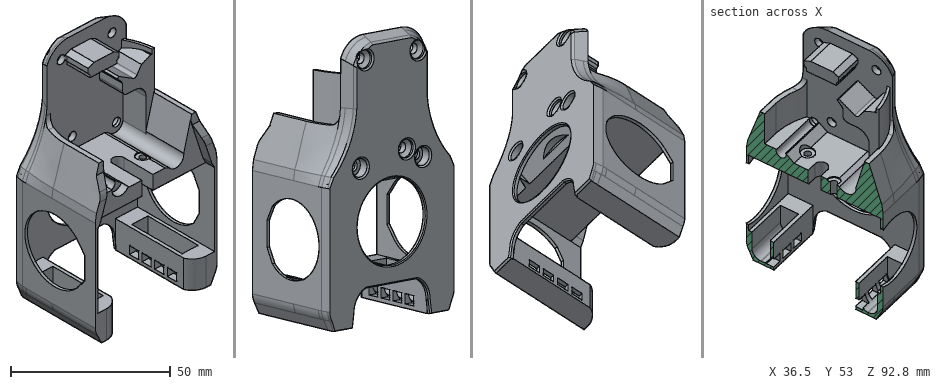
import cadquery as cq
import math

LENGTH = 36.5
WIDTH = 53.0
HALF_WIDTH = WIDTH / 2
HEIGHT = 92.8
PLATE = 4.8
FACE_WALL = 1.5
SIDE_WALL = 1.1
OVERSHOOT = 0.9

FRONT_INSET = 0.6
FRONT_INSET_DEPTH = 3.3
FACE_BEVEL = 0.4
FACE_BEVEL_DEPTH = 0.8
BLEND_DEPTH = 16.7
FOOT_HALF = 23.8
HEAD_HALF_FACE = 15.0
HEAD_GROWTH = 2.2
HEAD_FLAT_HALF = 8.1
SHOULDER_TOP = 70.55
SHOULDER = [
    (49.85, 24.6, 26.0),
    (57.2, 19.1, 23.6),
    (64.7, 16.1, 21.1),
]

RIM = 64.7
RIM_FILLET = 3.0
REAR_EDGE_TOP = 53.5
FLOOR = 49.7
FLOOR_BOTTOM = 43.6
FLOOR_END = 32.5
LEDGE = 52.0
TRAY_HALF = 19.2
TRAY_HALF_FRONT = 15.8
CABLE_GROOVE = 3.6
CABLE_GROOVE_AXIS = (-13.0, 51.2)
SOCKET = 7.6
SOCKET_DEPTH = 3.1
SOCKET_Y = -11.6
CEILING_SLOPE = 6.5
CEILING_RISE = 4.0

CLIP_END = 15.3
HOOK_TOP = 81.3
HOOK_RIM = 1.1

FACE_HOLE = 28.4
FACE_HOLE_Z = 32.2
FACE_HOLE_CHAMFER = 0.4
SCREW_HOLE = 3.4
SCREW_HEAD = 6.0
SCREW_HEAD_CHAMFER = 0.6
SCREW_SEAT_DEPTH = 1.3
FLAT_SEAT_DEPTH = 3.7
CONE_SEAT_SCREWS = [(11.05, 85.9), (-11.05, 85.9), (-6.2, 54.7)]
FLAT_SEAT_SCREWS = [(13.0, 51.2), (-13.0, 51.2)]

SLOT_WIDTH = 4.8
SLOT_START = 16.9
FLOOR_SCREWS = [(22.65, 7.3), (16.2, -7.3)]
FLOOR_SCREW_HOLE = 2.4
SPOT_FACE = 5.0
SPOT_FACE_DEPTH = 0.5

SIDE_HOLE_Z = 27.2
SIDE_HOLE_MINUS_Y = (18.1, 13.6, 31.7, 4.7)
SIDE_HOLE_PLUS_Y = (17.6, 13.1, 29.4, 4.4)

LEG_INNER = 15.8
GAP_BEVEL = 0.5
DUCT_TOP = 11.9
DUCT_WALL = 1.4
DUCT_OUTER = 24.1
DUCT_FILLET = 3.3
DUCT_START = 7.4
DUCT_END = 30.4
OUTLET_COUNT = 4
OUTLET_PITCH = 5.8
OUTLET_LENGTH = 4.1
OUTLET_HEIGHT = 3.3
OUTLET_START = 7.8


def box(x0, x1, y0, y1, z0, z1):
    return cq.Workplane("XY").box(x1 - x0, y1 - y0, z1 - z0, centered=False).translate((x0, y0, z0))


def cylinder_x(diameter, x0, x1, y, z):
    return cq.Workplane("YZ", origin=(x0, y, z)).circle(diameter / 2).extrude(x1 - x0)


def mirrored_y(points):
    return [(-y, z) for y, z in points]


def shell_section(x):
    """Closed outline of the shell at the given depth behind the face."""
    blend = math.sin(math.pi / 2 * x / BLEND_DEPTH)
    growth = HEAD_GROWTH * min(x / PLATE, 1)
    side = HALF_WIDTH - FRONT_INSET * max(1 - x / FRONT_INSET_DEPTH, 0)
    bevel = FACE_BEVEL * max(1 - x / FACE_BEVEL_DEPTH, 0)
    head = HEAD_HALF_FACE + growth - bevel
    top = HEIGHT - HEAD_GROWTH + growth - bevel

    foot = (FOOT_HALF, bevel)
    leg_arc = [(side - 0.9, 3.6), (side - 0.3, 5.1), (side, 6.7)]
    side_top = (side, 46.4)
    shoulder = [(face + (body - face) * blend - bevel, z) for z, face, body in SHOULDER]
    shoulder.append((head, SHOULDER_TOP))
    head_arc = [(head, top - 6.5), (head - 3.0, top - 2.3), (HEAD_FLAT_HALF, top)]

    return (
        cq.Workplane("YZ", origin=(x, 0, 0))
        .moveTo(*foot)
        .lineTo(*leg_arc[0])
        .threePointArc(*leg_arc[1:])
        .lineTo(*side_top)
        .lineTo(*shoulder[0])
        .spline(shoulder[1:], includeCurrent=True)
        .lineTo(*head_arc[0])
        .threePointArc(*head_arc[1:])
        .lineTo(-HEAD_FLAT_HALF, top)
        .threePointArc(*mirrored_y(head_arc[1::-1]))
        .lineTo(*mirrored_y(shoulder)[-1])
        .spline(mirrored_y(shoulder[-2::-1]), includeCurrent=True)
        .lineTo(-side, side_top[1])
        .lineTo(-side, leg_arc[2][1])
        .threePointArc(*mirrored_y(leg_arc[1::-1]))
        .lineTo(-foot[0], foot[1])
        .close()
    )


def outer_shell():
    straight_depths = [0, FACE_BEVEL_DEPTH, FRONT_INSET_DEPTH, PLATE]
    curved_depths = [PLATE, 8.4, 12.1, BLEND_DEPTH]
    plate = cq.Solid.makeLoft([shell_section(x).val() for x in straight_depths], True)
    shoulders = cq.Solid.makeLoft([shell_section(x).val() for x in curved_depths], False)
    rear = shell_section(BLEND_DEPTH).extrude(LENGTH - BLEND_DEPTH)
    return rear.union(cq.Workplane(shoulders)).union(cq.Workplane(plate))


def above_rim():
    """Everything above the wall rim and behind the rear edge of the walls."""
    return (
        cq.Workplane("XZ", origin=(0, HALF_WIDTH + OVERSHOOT, 0))
        .moveTo(PLATE, HEIGHT + OVERSHOOT)
        .lineTo(PLATE, RIM + RIM_FILLET)
        .radiusArc((PLATE + RIM_FILLET, RIM), -RIM_FILLET)
        .lineTo(FLOOR_END, RIM)
        .lineTo(FLOOR_END + 0.3, 60.8)
        .lineTo(35.6, 56.4)
        .threePointArc((36.2, 55.1), (LENGTH, REAR_EDGE_TOP))
        .lineTo(LENGTH + OVERSHOOT, REAR_EDGE_TOP)
        .lineTo(LENGTH + OVERSHOOT, HEIGHT + OVERSHOOT)
        .close()
        .extrude(2 * (HALF_WIDTH + OVERSHOOT))
    )


def tray_cut():
    """Upper tray with a rounded trough on the +Y side and a ledge on the -Y side."""
    profile = (
        cq.Workplane("YZ", origin=(PLATE, 0, 0))
        .moveTo(TRAY_HALF, HEIGHT)
        .lineTo(TRAY_HALF, RIM)
        .lineTo(15.8, 51.5)
        .threePointArc((12.25, 47.5), (9.6, 48.8))
        .lineTo(7.7, FLOOR)
        .lineTo(-7.9, FLOOR)
        .lineTo(-11.0, LEDGE)
        .lineTo(-TRAY_HALF, LEDGE)
        .lineTo(-TRAY_HALF, HEIGHT)
        .close()
        .extrude(LENGTH)
    )
    plan = (
        cq.Workplane("XY")
        .moveTo(PLATE, TRAY_HALF_FRONT)
        .threePointArc((9.75, 18.0), (BLEND_DEPTH, TRAY_HALF))
        .lineTo(LENGTH + OVERSHOOT, TRAY_HALF)
        .lineTo(LENGTH + OVERSHOOT, -TRAY_HALF)
        .lineTo(BLEND_DEPTH, -TRAY_HALF)
        .threePointArc((9.75, -18.0), (PLATE, -TRAY_HALF_FRONT))
        .close()
        .extrude(HEIGHT)
    )
    return profile.intersect(plan)


def ledge_grooves():
    cable = cylinder_x(CABLE_GROOVE, PLATE, FLOOR_END, *CABLE_GROOVE_AXIS)
    socket = cylinder_x(SOCKET, FLOOR_END - SOCKET_DEPTH, FLOOR_END, SOCKET_Y, LEDGE)
    return cable.union(socket)


def lower_cavity():
    """Space below the tray floor, open to the rear and to the bottom."""
    half = HALF_WIDTH - SIDE_WALL
    space = (
        cq.Workplane("XZ", origin=(0, half, 0))
        .moveTo(FACE_WALL, -OVERSHOOT)
        .lineTo(FACE_WALL, FLOOR_BOTTOM + CEILING_RISE)
        .lineTo(FACE_WALL + CEILING_SLOPE, FLOOR_BOTTOM)
        .lineTo(LENGTH + OVERSHOOT, FLOOR_BOTTOM)
        .lineTo(LENGTH + OVERSHOOT, -OVERSHOOT)
        .close()
        .extrude(2 * half)
    )
    right_side = [(half, FLOOR_BOTTOM), (24.1, 45.95), (18.0, RIM)]
    left_side = mirrored_y(right_side[::-1])
    behind_floor = (
        cq.Workplane("YZ", origin=(FLOOR_END, 0, 0))
        .polyline(right_side + left_side)
        .close()
        .extrude(LENGTH)
    )
    return space.union(behind_floor)


def leg_gap_outline():
    side = [(15.4, 5.1), (13.9, 9.6), (10.6, 12.2)]
    return (
        cq.Workplane("YZ")
        .moveTo(16.2, -OVERSHOOT)
        .lineTo(*side[0])
        .threePointArc(*side[1:])
        .lineTo(-side[2][0], side[2][1])
        .threePointArc(*mirrored_y(side[1::-1]))
        .lineTo(-16.2, -OVERSHOOT)
        .close()
    )


def leg_gap():
    """Opening between the two legs at the bottom, bevelled at the face."""
    opening = leg_gap_outline().extrude(LENGTH + OVERSHOOT)
    bevel = leg_gap_outline().offset2D(GAP_BEVEL, "intersection").extrude(GAP_BEVEL, taper=45)
    return opening.union(bevel)


def air_duct():
    """Duct of the +Y leg, open at the top, with outlets towards the middle."""
    block = box(FACE_WALL, LENGTH, LEG_INNER, HALF_WIDTH - SIDE_WALL / 2, 0, DUCT_TOP)
    channel = box(DUCT_START, DUCT_END, LEG_INNER + DUCT_WALL, DUCT_OUTER, DUCT_WALL, DUCT_TOP + OVERSHOOT)
    channel = channel.edges("|X and <Z").fillet(DUCT_FILLET)
    rounded_end = (
        cq.Workplane("XY", origin=(0, 0, -OVERSHOOT))
        .moveTo(FLOOR_END, LEG_INNER - OVERSHOOT)
        .lineTo(FLOOR_END, LEG_INNER)
        .threePointArc((35.65, 18.7), (LENGTH, 22.3))
        .lineTo(LENGTH + OVERSHOOT, 22.3)
        .lineTo(LENGTH + OVERSHOOT, LEG_INNER - OVERSHOOT)
        .close()
        .extrude(DUCT_TOP + 2 * OVERSHOOT)
    )
    duct = block.cut(channel).cut(rounded_end)
    for index in range(OUTLET_COUNT):
        start = OUTLET_START + index * OUTLET_PITCH
        y_end = LEG_INNER + 2 * DUCT_WALL
        outlet = box(start, start + OUTLET_LENGTH, LEG_INNER - OVERSHOOT, y_end,
                     DUCT_WALL, DUCT_WALL + OUTLET_HEIGHT)
        duct = duct.cut(outlet)
    return duct


def clip():
    """Short bar with bevelled top edges, standing on the back of the plate."""
    outline = [(-9.4, 86.9), (-6.8, 88.0), (1.8, 88.0), (4.0, 86.9), (4.0, 84.9),
               (3.2, 84.1), (3.2, 83.0), (-8.5, 83.0), (-8.5, 84.1), (-9.4, 84.9)]
    return (
        cq.Workplane("YZ", origin=(PLATE - OVERSHOOT, 0, 0))
        .polyline(outline)
        .close()
        .extrude(CLIP_END - PLATE + OVERSHOOT)
    )


def hook_plan(inset, z0, z1):
    """Area up to the curved outer side of the hook, drawn inwards by the inset."""
    return (
        cq.Workplane("XY", origin=(0, -inset, z0))
        .moveTo(PLATE - OVERSHOOT, 0)
        .lineTo(PLATE - OVERSHOOT, 15.8)
        .lineTo(PLATE, 16.3)
        .threePointArc((9.75, 18.5), (CLIP_END, 19.6))
        .lineTo(CLIP_END, 0)
        .close()
        .extrude(z1 - z0)
    )


def hook():
    """Post rising from the +Y wall with a tongue that reaches inwards."""
    profile = (
        cq.Workplane("YZ", origin=(PLATE - OVERSHOOT, 0, 0))
        .moveTo(21.35, FLOOR_BOTTOM)
        .lineTo(21.1, RIM)
        .lineTo(19.6, 68.7)
        .lineTo(19.6, 79.5)
        .lineTo(17.8, 79.5)
        .lineTo(13.8, 77.7)
        .lineTo(11.9, 74.7)
        .threePointArc((11.3, 74.1), (10.2, 74.1))
        .lineTo(4.0, 77.7)
        .lineTo(3.3, 77.05)
        .lineTo(5.1, 75.2)
        .lineTo(5.6, 74.4)
        .lineTo(5.6, 71.5)
        .threePointArc((6.2, 70.0), (7.6, 69.4))
        .lineTo(11.1, 69.4)
        .threePointArc((14.4, 68.0), (15.8, RIM))
        .lineTo(15.8, FLOOR_BOTTOM)
        .close()
        .extrude(CLIP_END - PLATE + OVERSHOOT)
    )
    post = profile.intersect(hook_plan(0, 0, HEIGHT))
    rim = hook_plan(0, FLOOR, HOOK_TOP).cut(hook_plan(HOOK_RIM, FLOOR, HOOK_TOP))
    rim = rim.intersect(box(PLATE - OVERSHOOT, CLIP_END, 0, HALF_WIDTH, RIM, HOOK_TOP))
    return post.union(rim)


def face_hole():
    hole = cylinder_x(FACE_HOLE, -OVERSHOOT, PLATE + OVERSHOOT, 0, FACE_HOLE_Z)
    rim = cq.Solid.makeCone(FACE_HOLE / 2 + FACE_HOLE_CHAMFER, FACE_HOLE / 2, FACE_HOLE_CHAMFER,
                            pnt=cq.Vector(0, 0, FACE_HOLE_Z), dir=cq.Vector(1, 0, 0))
    return hole.union(cq.Workplane(rim))


def screw_hole(y, z, head_depth):
    head_radius = SCREW_HEAD / 2
    bore = cylinder_x(SCREW_HOLE, -OVERSHOOT, PLATE + OVERSHOOT, y, z)
    head = cylinder_x(SCREW_HEAD, -OVERSHOOT, head_depth, y, z)
    rim = cq.Solid.makeCone(head_radius + SCREW_HEAD_CHAMFER, head_radius, SCREW_HEAD_CHAMFER,
                            pnt=cq.Vector(0, y, z), dir=cq.Vector(1, 0, 0))
    return bore.union(head).union(cq.Workplane(rim))


def cone_seat(y, z):
    """Conical seat below the screw head."""
    cone = cq.Solid.makeCone(SCREW_HEAD / 2, SCREW_HOLE / 2, SCREW_SEAT_DEPTH,
                             pnt=cq.Vector(SCREW_SEAT_DEPTH, y, z), dir=cq.Vector(1, 0, 0))
    return cq.Workplane(cone)


def side_hole(y_end, x, radius, flat_x, flat_half):
    """Round opening in one side wall whose rear end is cut off by a flat."""
    diagonal = radius * math.sqrt(0.5)
    return (
        cq.Workplane("XZ", origin=(0, y_end, SIDE_HOLE_Z))
        .moveTo(x + diagonal, diagonal)
        .threePointArc((x - radius, 0), (x + diagonal, -diagonal))
        .lineTo(flat_x, -flat_half)
        .lineTo(flat_x, flat_half)
        .close()
        .extrude(HALF_WIDTH / 2 + OVERSHOOT)
    )


def disc(diameter, x, y, z0, z1):
    return cq.Workplane("XY", origin=(x, y, z0)).circle(diameter / 2).extrude(z1 - z0)


def floor_holes():
    """Open-ended slot and two screw holes with spot faces in the tray floor."""
    low = FLOOR_BOTTOM - OVERSHOOT
    high = FLOOR + OVERSHOOT
    slot_centre = SLOT_START + SLOT_WIDTH / 2
    cut = box(slot_centre, LENGTH, -SLOT_WIDTH / 2, SLOT_WIDTH / 2, low, high)
    cut = cut.union(disc(SLOT_WIDTH, slot_centre, 0, low, high))
    for x, y in FLOOR_SCREWS:
        cut = cut.union(disc(FLOOR_SCREW_HOLE, x, y, low, high))
        cut = cut.union(disc(SPOT_FACE, x, y, FLOOR - SPOT_FACE_DEPTH, LEDGE + OVERSHOOT))
    return cut


shell = outer_shell()
body = shell.cut(above_rim()).cut(tray_cut()).cut(ledge_grooves()).cut(lower_cavity()).cut(leg_gap())
duct = air_duct().intersect(shell)
body = body.union(duct).union(duct.mirror("XZ"))
body = body.union(clip()).union(hook())
body = body.cut(face_hole()).cut(floor_holes())
for screw_y, screw_z in FLAT_SEAT_SCREWS:
    body = body.cut(screw_hole(screw_y, screw_z, FLAT_SEAT_DEPTH))
for screw_y, screw_z in CONE_SEAT_SCREWS:
    body = body.cut(screw_hole(screw_y, screw_z, SCREW_SEAT_DEPTH)).cut(cone_seat(screw_y, screw_z))
body = body.cut(side_hole(-HALF_WIDTH / 2, *SIDE_HOLE_MINUS_Y))
body = body.cut(side_hole(HALF_WIDTH + OVERSHOOT, *SIDE_HOLE_PLUS_Y))

result = body